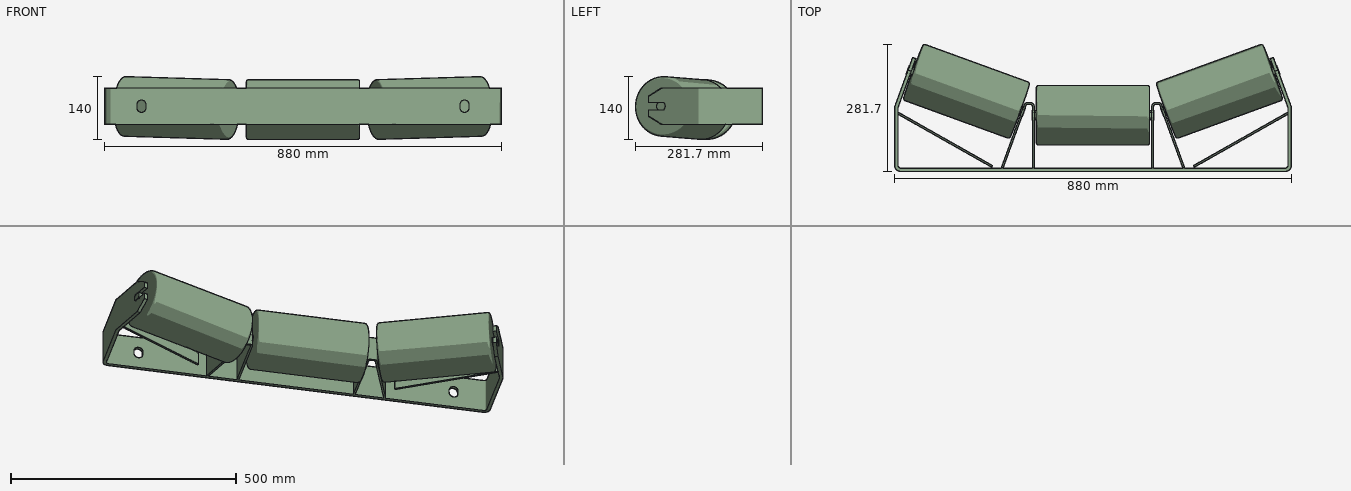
import cadquery as cq
import math

FRAME_LENGTH = 880.0
FRAME_HEIGHT = 80.0
BAR_THICKNESS = 8.0
CORNER_RADIUS = 14.0
ARM_BEND_RADIUS = 10.0
BEND_Y = 143.0
ARM_LENGTH = 117.0
ARM_ANGLE = 20.0
ARM_CHAMFER_LENGTH = 30.0
ARM_CHAMFER_HEIGHT = 18.0

MOUNT_SPACING = 716.0
MOUNT_WIDTH = 20.0
MOUNT_HEIGHT = 27.0

ROLLER_DIAMETER = 133.0
ROLLER_LENGTH = 252.0
ROLLER_FILLET = 5.0
SHAFT_DIAMETER = 20.0
SHAFT_FLATS = 16.0
ROLLER_GAP = 4.0
SHAFT_OVERHANG = 1.0
SHAFT_TO_ARM_END = 30.0
MIDDLE_ROLLER_Y = 125.0
MIDDLE_ROLLER_DROP = 7.5
SIDE_ROLLER_TILT = 1.6

STRIP_THICKNESS = 4.0
STRIP_BEND_RADIUS = 8.0
BRACKET_TOP_Y = 153.0
BRACKET_HEIGHT = 58.0

BRACE_THICKNESS = 4.0
BRACE_HEIGHT = 30.0
BRACE_ANGLE = 29.5
BRACE_TOP_Y = 132.0
BRACE_BASE_GAP = 2.0

ARM_SIN = math.sin(math.radians(ARM_ANGLE))
ARM_COS = math.cos(math.radians(ARM_ANGLE))
ARM_TAN = ARM_SIN / ARM_COS
BEND_X = -FRAME_LENGTH / 2

SHAFT_STATION = ARM_LENGTH - SHAFT_TO_ARM_END
STATION_X = BEND_X + SHAFT_STATION * ARM_SIN
STATION_Y = BEND_Y + SHAFT_STATION * ARM_COS

SEAT_DISTANCE = ROLLER_LENGTH / 2 + ROLLER_GAP
ARM_SHAFT_REACH = SEAT_DISTANCE + BAR_THICKNESS + SHAFT_OVERHANG
BRACKET_SHAFT_REACH = SEAT_DISTANCE + STRIP_THICKNESS + SHAFT_OVERHANG

LEG_DISTANCE = BAR_THICKNESS + 2 * SEAT_DISTANCE
LEG_X = STATION_X + LEG_DISTANCE * ARM_COS
LEG_Y = STATION_Y - LEG_DISTANCE * ARM_SIN


def mirrored(body):
    return body.mirror("YZ")


def arm_plane():
    """Plane on the outer face of the left arm: x runs up the arm, y along Z, normal out of the frame."""
    return cq.Plane(origin=(BEND_X, BEND_Y, 0), xDir=(ARM_SIN, ARM_COS, 0), normal=(-ARM_COS, ARM_SIN, 0))


def slanted_leg_x(y):
    """X of the outer face of the left bracket's slanted leg at a given Y."""
    return LEG_X + (y - LEG_Y) * ARM_TAN


def bent_strip(path, bend_radii, thickness, height):
    """Flat strip standing on edge: its outer face follows the path, its thickness lies on the path's left."""
    points = [cq.Vector(x, y, 0) for x, y in path]
    up = cq.Vector(0, 0, 1)
    normals = [up.cross((end - start).normalized()) for start, end in zip(points, points[1:])]
    before = [normals[0]] + normals
    after = normals + [normals[-1]]
    inner = [
        point + (n1 + n2) * (thickness / (1 + n1.dot(n2)))
        for point, n1, n2 in zip(points, before, after)
    ]
    outline = cq.Workplane("XY").polyline([p.toTuple()[:2] for p in points + inner[::-1]]).close()
    strip = outline.extrude(height / 2, both=True)
    for corner, radius in zip(points[1:-1], bend_radii):
        strip = strip.edges(cq.NearestToPointSelector(corner.toTuple())).fillet(radius)
    for corner, radius in zip(inner[1:-1], bend_radii):
        strip = strip.edges(cq.NearestToPointSelector(corner.toTuple())).fillet(radius - thickness)
    return strip


def make_bar():
    """Bar bent into base, walls and arms, with its mounting holes."""
    tip_x = BEND_X + ARM_LENGTH * ARM_SIN
    tip_y = BEND_Y + ARM_LENGTH * ARM_COS
    left = [(tip_x, tip_y), (BEND_X, BEND_Y), (BEND_X, 0)]
    right = [(-x, y) for x, y in reversed(left)]
    bend_radii = [ARM_BEND_RADIUS, CORNER_RADIUS, CORNER_RADIUS, ARM_BEND_RADIUS]
    bar = bent_strip(left + right, bend_radii, BAR_THICKNESS, FRAME_HEIGHT)
    holes = (
        cq.Workplane("XZ")
        .pushPoints([(-MOUNT_SPACING / 2, 0), (MOUNT_SPACING / 2, 0)])
        .slot2D(MOUNT_HEIGHT, MOUNT_WIDTH, 90)
        .extrude(-BAR_THICKNESS)
    )
    return bar.cut(holes)


def make_arm_cutter():
    """Material removed from the left arm: the two chamfered corners and the open shaft slot."""
    half_height = FRAME_HEIGHT / 2
    cutter = (
        cq.Workplane(arm_plane())
        .moveTo(SHAFT_STATION, -SHAFT_FLATS / 2)
        .lineTo(ARM_LENGTH, -SHAFT_FLATS / 2)
        .lineTo(ARM_LENGTH, SHAFT_FLATS / 2)
        .lineTo(SHAFT_STATION, SHAFT_FLATS / 2)
        .close()
        .extrude(-BAR_THICKNESS)
    )
    for side in (-1, 1):
        corner = (
            cq.Workplane(arm_plane())
            .moveTo(ARM_LENGTH, side * half_height)
            .lineTo(ARM_LENGTH - ARM_CHAMFER_LENGTH, side * half_height)
            .lineTo(ARM_LENGTH, side * (half_height - ARM_CHAMFER_HEIGHT))
            .close()
            .extrude(-BAR_THICKNESS)
        )
        cutter = cutter.union(corner)
    return cutter


def make_bracket():
    """Left bracket, flush with the underside of the bar: one straight leg and one slanted leg."""
    straight_leg_x = -SEAT_DISTANCE
    foot_y = BAR_THICKNESS / 2
    path = [
        (straight_leg_x, foot_y),
        (straight_leg_x, BRACKET_TOP_Y),
        (slanted_leg_x(BRACKET_TOP_Y), BRACKET_TOP_Y),
        (slanted_leg_x(foot_y), foot_y),
    ]
    bend_radii = [STRIP_BEND_RADIUS, STRIP_BEND_RADIUS]
    bracket = bent_strip(path, bend_radii, STRIP_THICKNESS, BRACKET_HEIGHT)
    return bracket.translate((0, 0, (BRACKET_HEIGHT - FRAME_HEIGHT) / 2))


def make_brace():
    """Left brace: a flat bar sloping from the wall down towards the base and stopping just short of it."""
    slope = math.radians(BRACE_ANGLE)
    start_x = BEND_X + BAR_THICKNESS / 2
    start_y = BRACE_TOP_Y + BAR_THICKNESS / 2 * math.tan(slope)
    drop = start_y - BAR_THICKNESS - BRACE_BASE_GAP - BRACE_THICKNESS * math.cos(slope)
    length = drop / math.sin(slope)
    plane = cq.Plane(
        origin=(start_x, start_y, 0),
        xDir=(math.cos(slope), -math.sin(slope), 0),
        normal=(0, 0, 1),
    )
    return (
        cq.Workplane(plane)
        .rect(length, -BRACE_THICKNESS, centered=False)
        .extrude(BRACE_HEIGHT / 2, both=True)
    )


def make_roller(shaft_start, shaft_end):
    """Roller centred on the origin along X, with its shaft reaching from one X to another."""
    drum = (
        cq.Workplane("YZ", origin=(-ROLLER_LENGTH / 2, 0, 0))
        .circle(ROLLER_DIAMETER / 2)
        .extrude(ROLLER_LENGTH)
        .faces("<X or >X")
        .edges()
        .fillet(ROLLER_FILLET)
    )
    shaft_length = shaft_end - shaft_start
    shaft_base = cq.Workplane("YZ", origin=(shaft_start, 0, 0))
    flats = shaft_base.rect(SHAFT_DIAMETER, SHAFT_FLATS).extrude(shaft_length)
    shaft = shaft_base.circle(SHAFT_DIAMETER / 2).extrude(shaft_length).intersect(flats)
    return drum.union(shaft)


def make_middle_roller():
    roller = make_roller(-BRACKET_SHAFT_REACH, BRACKET_SHAFT_REACH)
    return roller.translate((0, MIDDLE_ROLLER_Y, -MIDDLE_ROLLER_DROP))


def make_left_roller():
    """Left roller, leaning with the arm and tilted so that its inner end is the lower one."""
    roller = make_roller(-ARM_SHAFT_REACH, BRACKET_SHAFT_REACH)
    roller = roller.translate((SEAT_DISTANCE + BAR_THICKNESS, 0, 0))
    roller = roller.rotate((0, 0, 0), (0, 1, 0), SIDE_ROLLER_TILT)
    roller = roller.rotate((0, 0, 0), (0, 0, 1), -ARM_ANGLE)
    return roller.translate((STATION_X, STATION_Y, 0))


def make_frame(rollers):
    """Bar, brackets and braces welded into one piece, with seats for the roller shafts."""
    arm_cutter = make_arm_cutter()
    bracket = make_bracket()
    brace = make_brace()
    frame = make_bar()
    for cutter in (arm_cutter, mirrored(arm_cutter)):
        frame = frame.cut(cutter)
    for part in (bracket, mirrored(bracket), brace, mirrored(brace)):
        frame = frame.union(part)
    for roller in rollers:
        frame = frame.cut(roller)
    return frame


left_roller = make_left_roller()
rollers = [left_roller, make_middle_roller(), mirrored(left_roller)]
frame = make_frame(rollers)

result = cq.Compound.makeCompound([frame.val(), *[roller.val() for roller in rollers]])